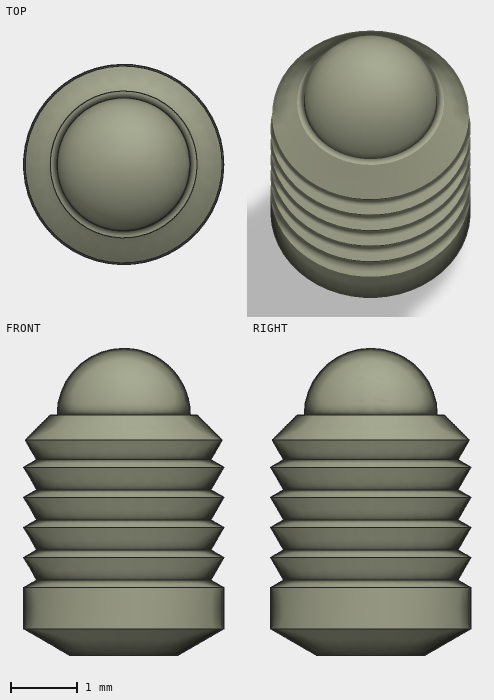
import cadquery as cq
import math

total_height = 4.6
body_radius = 1.5
ball_radius = 1.0
body_height = total_height - ball_radius

base_radius = 0.805
base_chamfer_angle = math.radians(30)
top_face_radius = 1.1

collar_top = 1.015
groove_count = 5
groove_pitch = 0.45
upper_flank_angle = math.radians(30)
groove_depth = groove_pitch * math.sqrt(3) / 4
groove_lower_rise = groove_pitch / 4
root_radius = body_radius - groove_depth


def body_outline():
    """Half section of the body as (radius, height) points, from the base upwards."""
    base_chamfer_height = (body_radius - base_radius) * math.tan(base_chamfer_angle)
    points = [(0, 0), (base_radius, 0), (body_radius, base_chamfer_height)]
    for i in range(groove_count):
        crest_height = collar_top + i * groove_pitch
        points.append((body_radius, crest_height))
        points.append((root_radius, crest_height + groove_lower_rise))

    last_root_height = points[-1][1]
    flank_slope = math.tan(upper_flank_angle)
    chamfer_reach = top_face_radius + body_height
    last_flank_height = (chamfer_reach - root_radius - last_root_height) / (1 + flank_slope)
    last_crest_radius = root_radius + last_flank_height * flank_slope
    points.append((last_crest_radius, last_root_height + last_flank_height))

    points.append((top_face_radius, body_height))
    points.append((0, body_height))
    return points


def make_ball():
    """Full ball, half of it standing above the body."""
    return cq.Workplane("XY").sphere(ball_radius).translate((0, 0, body_height))


def make_body():
    """Grooved body with a hemispherical seat that fits the ball."""
    blank = cq.Workplane("XZ").polyline(body_outline()).close().revolve(360, (0, 0), (0, 1))
    return blank.cut(make_ball()).solids()


body = make_body()
ball = make_ball()

result = cq.Compound.makeCompound([body.val(), ball.val()])